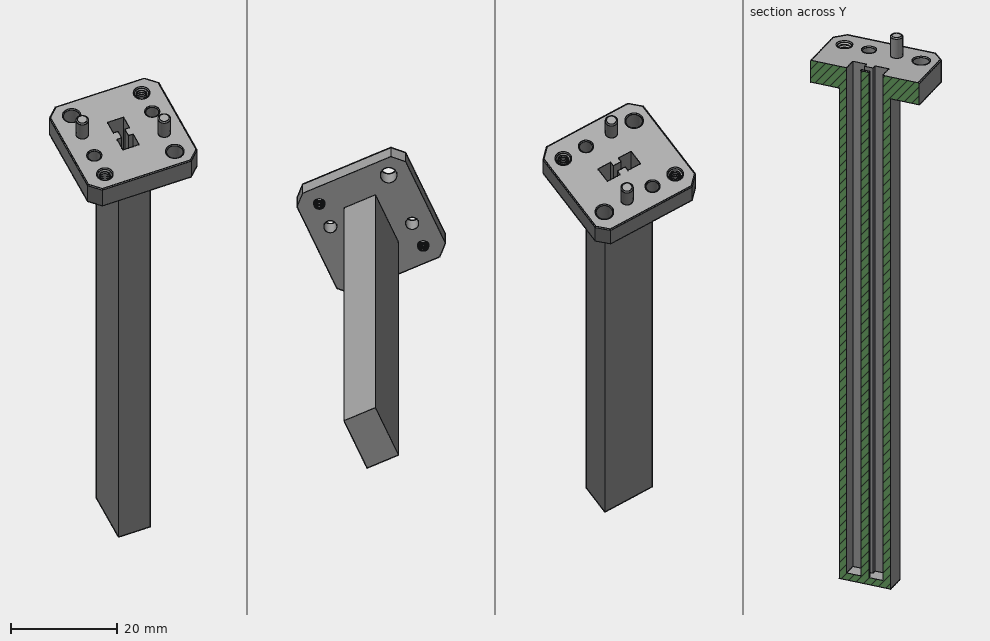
import cadquery as cq

flange_width = 22.4
total_height = 113.3

flange_thickness = 4.75
corner_chamfer = 2.1
rim_chamfer = 0.2

guide_width = 7.4
guide_height = 3.3
ridge_width = 1.75
ridge_gap = 1.4

tube_wall = 1.6
tube_width = guide_width + 2 * tube_wall
tube_depth = guide_height + 2 * tube_wall

pin_diameter = 2.35
pin_height = 4.3
pin_tip_chamfer = 0.25

row_y = 7.15
outer_x = 7.9
inner_x = 2.85
clearance_diameter = 3.1
pin_hole_diameter = 2.45
mouth_chamfer = 0.2

tapped_bore_diameter = 2.1
tapped_mouth_chamfer = 0.52
thread_depth = 0.32
thread_pitch = 0.6
thread_groove_width = 0.56
first_groove_depth = 0.25

flange_top = total_height - pin_height
flange_bottom = flange_top - flange_thickness


def half_turn_pair(x, y):
    """Return a point and its image under a half turn about Z."""
    return [(x, y), (-x, -y)]


def flange_face():
    """Workplane on the upper face of the flange, centred on the Z axis."""
    return cq.Workplane("XY").workplane(offset=flange_top)


def make_tube():
    return cq.Workplane("XY").rect(tube_width, tube_depth).extrude(flange_bottom)


def make_flange():
    plate = flange_face().rect(flange_width, flange_width).extrude(-flange_thickness)
    plate = plate.edges("|Z").chamfer(corner_chamfer)
    return plate.faces(">Z").edges().chamfer(rim_chamfer)


def make_pins():
    pins = (
        flange_face()
        .pushPoints(half_turn_pair(inner_x, row_y))
        .circle(pin_diameter / 2)
        .extrude(pin_height)
    )
    return pins.faces(">Z").edges().chamfer(pin_tip_chamfer)


def make_hole_pair(diameter, mouth, x):
    """Cutter for two through holes whose upper mouths are chamfered at 45 degrees."""
    centres = flange_face().pushPoints(half_turn_pair(x, row_y))
    bores = centres.circle(diameter / 2).extrude(-flange_thickness)
    mouths = centres.circle(diameter / 2 + mouth).extrude(-mouth, taper=45)
    return bores.union(mouths)


def make_thread_groove(z):
    """Cutter for one V-shaped ring around the Z axis, widest at height z."""
    bore_radius = tapped_bore_diameter / 2
    half_width = thread_groove_width / 2
    profile = cq.Workplane("XZ").polyline(
        [
            (0, z - half_width),
            (bore_radius, z - half_width),
            (bore_radius + thread_depth, z),
            (bore_radius, z + half_width),
            (0, z + half_width),
        ]
    )
    return profile.close().revolve(360, (0, 0, 0), (0, 1, 0))


def cut_threads(body):
    """Cut the thread rings of both tapped holes down the whole flange thickness."""
    groove_count = int((flange_thickness - first_groove_depth) / thread_pitch) + 1
    for i in range(groove_count):
        groove = make_thread_groove(flange_top - first_groove_depth - i * thread_pitch)
        for x, y in half_turn_pair(-outer_x, row_y):
            body = body.cut(groove.translate((x, y, 0)))
    return body


def make_guide_cavity():
    """Cutter for the blind rectangular guide with a ridge on each long wall."""
    depth = flange_top - tube_wall

    def block(width, height):
        return flange_face().rect(width, height).extrude(-depth)

    ridges = block(ridge_width, guide_height).cut(block(ridge_width, ridge_gap))
    return block(guide_width, guide_height).cut(ridges)


body = (
    make_tube()
    .union(make_flange())
    .union(make_pins())
    .cut(make_hole_pair(clearance_diameter, mouth_chamfer, outer_x))
    .cut(make_hole_pair(pin_hole_diameter, mouth_chamfer, -inner_x))
    .cut(make_hole_pair(tapped_bore_diameter, tapped_mouth_chamfer, -outer_x))
    .cut(make_guide_cavity())
)
result = cut_threads(body)